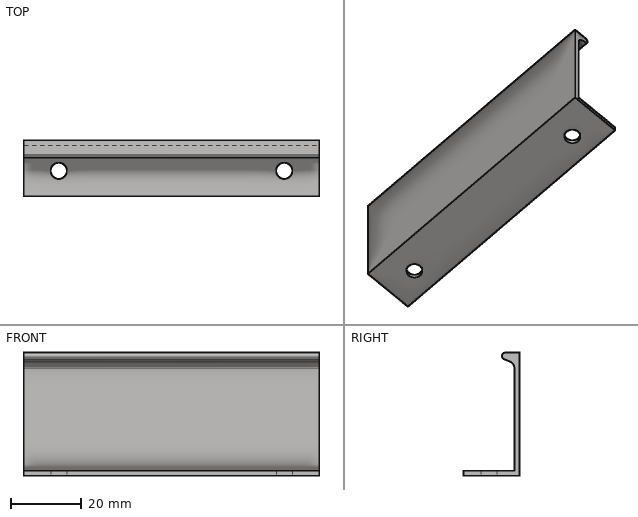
import cadquery as cq
import math

length = 84.0
depth = 16.0
height = 35.0
thickness = 1.5

lip_reach = 5.0
nose_radius = 1.0
underside_angle = math.radians(22)
root_radius = 2.0

hole_diameter = 4.5
hole_spacing = 64.0
hole_from_back = 8.7

back = depth / 2
front = -depth / 2
wall_front = back - thickness


def make_profile():
    """Angle section with a lip, drawn in the YZ plane and extruded along X."""
    nose_y = back - lip_reach + nose_radius
    nose_z = height - nose_radius
    tangent_y = nose_y - nose_radius * math.sin(underside_angle)
    tangent_z = nose_z - nose_radius * math.cos(underside_angle)
    root_z = tangent_z - (wall_front - tangent_y) * math.tan(underside_angle)

    section = (
        cq.Workplane("YZ")
        .moveTo(back, 0)
        .lineTo(back, height)
        .lineTo(nose_y, height)
        .threePointArc((nose_y - nose_radius, nose_z), (tangent_y, tangent_z))
        .lineTo(wall_front, root_z)
        .lineTo(wall_front, thickness)
        .lineTo(front, thickness)
        .lineTo(front, 0)
        .close()
        .extrude(length / 2, both=True)
    )
    root_edge = cq.selectors.NearestToPointSelector((0, wall_front, root_z))
    return section.edges(root_edge).fillet(root_radius)


def make_holes():
    """Pair of cylinders that pass through the base flange."""
    hole_y = back - hole_from_back
    return (
        cq.Workplane("XY")
        .pushPoints([(side * hole_spacing / 2, hole_y) for side in (-1, 1)])
        .circle(hole_diameter / 2)
        .extrude(thickness)
    )


result = make_profile().cut(make_holes())